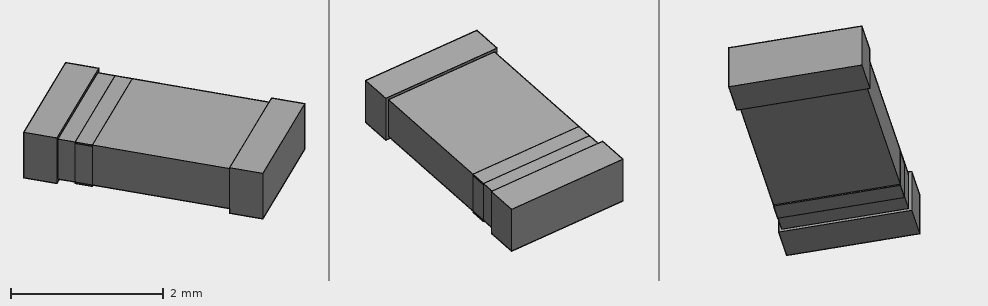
import cadquery as cq

total_length = 3.3
cap_length = 0.46
cap_width = 1.8
cap_height = 0.71
core_inset = 0.043
band_gap = 0.238
band_width = 0.238
band_thickness = 0.0215
leg_thickness = 0.0015

core_length = total_length - 2 * cap_length
core_width = cap_width - 2 * core_inset
core_height = cap_height - 2 * core_inset
core_top = core_height / 2
cap_center = (total_length - cap_length) / 2
band_center = -core_length / 2 + band_gap + band_width / 2


def block(length, width, height, x=0.0, z=0.0):
    """Box centred on Y = 0, with its centre at the given X and Z."""
    return cq.Workplane("XY").box(length, width, height).translate((x, 0, z))


def make_end_cap(x):
    """Plain rectangular terminal, taller and wider than the core."""
    return block(cap_length, cap_width, cap_height, x)


def make_top_strip():
    """Upper part of the band, flush with the top and sides of the core."""
    return block(band_width, core_width, band_thickness, band_center, core_top - band_thickness / 2)


def make_wrap():
    """U-shaped lower part of the band: thin flush legs at the sides and a floor under the core."""
    outside = block(band_width, core_width, core_height, band_center, -band_thickness)
    opening = block(band_width, core_width - 2 * leg_thickness, core_height, band_center)
    return outside.cut(opening)


def make_core(top_strip, wrap):
    """Rectangular core with shallow recesses that hold the band."""
    return block(core_length, core_width, core_height).cut(top_strip).cut(wrap)


end_caps = [make_end_cap(side * cap_center) for side in (-1, 1)]
top_strip = make_top_strip()
wrap = make_wrap()
core = make_core(top_strip, wrap)

result = cq.Compound.makeCompound(
    [core.val(), top_strip.val(), wrap.val(), *[cap.val() for cap in end_caps]]
)